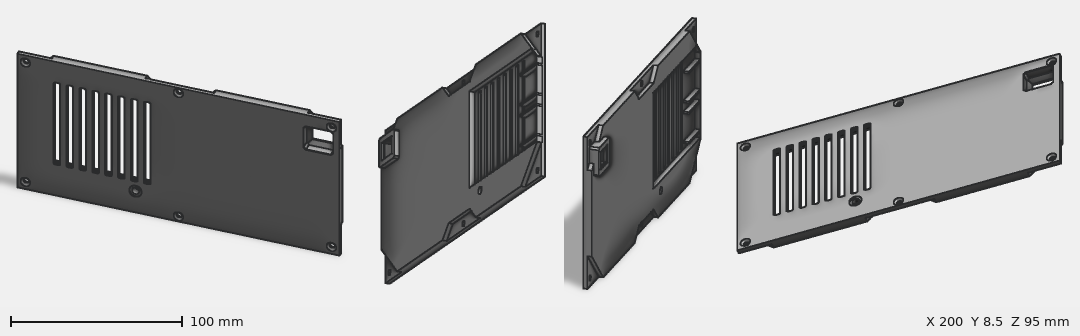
import cadquery as cq
import math

length = 200.0
height = 95.0
flange_thickness = 2.5
panel_thickness = 5.5
total_depth = 8.5

corner_cut = 20.5
middle_recess_length = 42.8
middle_recess_depth = 8.0

screw_diameter = 3.2
screw_head_diameter = 6.0
screw_head_angle = 90
corner_screw_x = 95.0
corner_screw_z = 42.5
middle_screw_z = 43.8

slot_count = 8
slot_pitch = 8.0
slot_width = 3.2
slot_length = 57.2
slot_corner_radius = 0.8
slot_chamfer = 0.5
slots_x = -47.5
slots_z = 3.5

grille_thickness = 1.8
edge_wall = 0.5
pocket_margin = 1.5
rib_thickness = 1.2
rib_offsets = (3.5, 22.0)

stepped_hole_x = -26.8
stepped_hole_z = -32.5
stepped_hole_diameter = 4.5
stepped_hole_recess_diameter = 7.5
stepped_hole_recess_depth = 0.5

window_x = 86.8
window_z = 31.0
frame_length = 20.0
frame_height = 18.0
frame_corner_chamfer = 1.2
frame_wall = 0.9
window_straight_depth = 5.0
window_slope = 2.5
window_chamfer = 0.3
window_corner = 1.5

end_x = length / 2
end_z = height / 2
slots_half_span = (slot_count - 1) * slot_pitch / 2


def at_depth(y):
    """Workplane parallel to the plate; local x and y run along X and Z."""
    return cq.Workplane("XZ", origin=(0, y, 0))


def slab(sketch, thickness):
    """Extrude a sketch from its plane towards +Y."""
    return sketch.extrude(-thickness)


def block(x, z, size_x, size_z, y_start, y_end):
    return slab(at_depth(y_start).center(x, z).rect(size_x, size_z), y_end - y_start)


def funnel(base, depth):
    """Continue a block's back face towards +Y, with its sides sloping inwards at 45 degrees."""
    rim = base.faces(">Y").wires().toPending().workplane()
    return rim.extrude(depth, taper=45, combine=False)


def back_layer():
    """Layer behind the flange: diagonal corners and a trapezoid recess at each long edge's middle."""
    layer = block(0, 0, length, height, flange_thickness, panel_thickness)
    layer = layer.edges("|Y").chamfer(corner_cut)
    half_mouth = middle_recess_length / 2
    half_floor = half_mouth - middle_recess_depth
    for side in (1, -1):
        floor_z = side * (end_z - middle_recess_depth)
        outline = at_depth(flange_thickness).polyline([
            (-half_mouth, side * end_z),
            (-half_floor, floor_z),
            (half_floor, floor_z),
            (half_mouth, side * end_z),
        ]).close()
        layer = layer.cut(slab(outline, panel_thickness - flange_thickness))
    return layer


def slot_pocket():
    """Pocket behind the slots; it reaches the left edge wall and follows the diagonal corner."""
    first_x = -end_x + edge_wall
    last_x = slots_x + slots_half_span + slot_pitch - slot_width / 2
    half_z = slot_length / 2 + pocket_margin
    top_z = slots_z + half_z
    bottom_z = slots_z - half_z
    diagonal = end_z - corner_cut + end_x - edge_wall * math.sqrt(2)
    outline = at_depth(grille_thickness).polyline([
        (first_x, bottom_z),
        (last_x, bottom_z),
        (last_x, top_z),
        (top_z - diagonal, top_z),
        (first_x, first_x + diagonal),
    ]).close()
    pocket = slab(outline, panel_thickness - grille_thickness)
    rib_end = slots_x - slots_half_span - slot_width / 2 - pocket_margin
    for offset in rib_offsets:
        for z in (offset, -offset):
            rib = block((first_x + rib_end) / 2, z, rib_end - first_x, rib_thickness,
                        grille_thickness, panel_thickness)
            pocket = pocket.cut(rib)
    return pocket


def slots():
    slot = block(0, 0, slot_width, slot_length, 0, panel_thickness)
    slot = slot.edges("|Y").fillet(slot_corner_radius)
    mouth = block(0, 0, slot_width + 2 * slot_chamfer, slot_length + 2 * slot_chamfer, -slot_chamfer, 0)
    mouth = mouth.edges("|Y").fillet(slot_corner_radius + slot_chamfer)
    slot = slot.union(funnel(mouth, slot_chamfer))
    cutters = cq.Workplane()
    for i in range(slot_count):
        x = slots_x - slots_half_span + i * slot_pitch
        cutters = cutters.add(slot.translate((x, 0, slots_z)))
    return cutters.combine()


def frame():
    body = block(window_x, window_z, frame_length, frame_height, 0, total_depth)
    return body.edges("|Y").chamfer(frame_corner_chamfer)


def window():
    """Chamfered mouth, straight walls, then walls sloping inwards to a square-cornered hole."""
    size_x = frame_length - 2 * frame_wall
    size_z = frame_height - 2 * frame_wall
    slope_end = window_straight_depth + window_slope
    straight = block(window_x, window_z, size_x, size_z, 0, window_straight_depth)
    bevelled = block(window_x, window_z, size_x, size_z, 0, slope_end).edges("|Y").chamfer(window_corner)
    cavity = straight.union(funnel(straight, window_slope)).intersect(bevelled)
    hole = block(window_x, window_z, size_x - 2 * window_slope, size_z - 2 * window_slope, 0, total_depth)
    mouth = block(window_x, window_z, size_x + 2 * window_chamfer, size_z + 2 * window_chamfer,
                  -window_chamfer, 0)
    mouth = mouth.edges("|Y").chamfer(window_corner + window_chamfer * (2 - math.sqrt(2)))
    return cavity.union(hole).union(funnel(mouth, window_chamfer))


plate = block(0, 0, length, height, 0, flange_thickness).union(back_layer()).union(frame())
plate = plate.cut(slot_pocket()).cut(slots()).cut(window())

screw_points = [(x, z) for x in (-corner_screw_x, corner_screw_x)
                for z in (-corner_screw_z, corner_screw_z)]
screw_points += [(0, -middle_screw_z), (0, middle_screw_z)]
outside_face = cq.Workplane("XZ")
plate = plate.copyWorkplane(outside_face).pushPoints(screw_points).cskHole(
    screw_diameter, screw_head_diameter, screw_head_angle)
plate = plate.copyWorkplane(outside_face).center(stepped_hole_x, stepped_hole_z).cboreHole(
    stepped_hole_diameter, stepped_hole_recess_diameter, stepped_hole_recess_depth)
result = plate